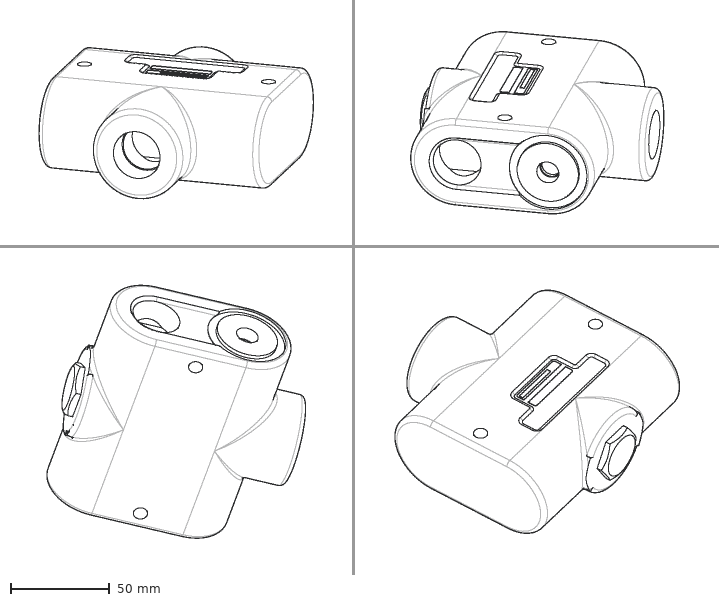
import cadquery as cq
import math

BLOCK_LENGTH = 117.1
BLOCK_HEIGHT = 47.6
SIDE_RADIUS = BLOCK_HEIGHT / 2
SIDE_AXIS_Y = 24.1
END_X = BLOCK_LENGTH / 2
TOP_Z = BLOCK_HEIGHT / 2
EDGE_FILLET = 2.5

FRONT_END_Y = -66.0
REAR_END_Y = 48.8
CREASE_FILLET = 2.4
REAR_ROUNDED_ANGLE = 120.0

PORT_RADIUS = 12.4
PORT_FLAT_HALF_HEIGHT = 10.3
FRONT_PORT_INNER_RADIUS = 11.8
FRONT_PORT_STEP_DEPTH = 14.6
FRONT_PORT_DEPTH = 29.5
SIDE_PORT_DEPTH = 15.5
SIDE_PORT_Y = 23.5

POCKET_DEPTH = 1.8
POCKET_HALF_WIDTH = 14.2
POCKET_FLOOR_FILLET = 1.7
SEAT_RADIUS = 20.4
SEAT_DEPTH = 2.0

PLUG_RADIUS = 16.0
PLUG_LENGTH = 19.1
SOCKET_RADIUS = 5.7
SOCKET_INNER_RADIUS = 5.3
SOCKET_ENTRY_DEPTH = 7.2
SOCKET_DEPTH = 9.5
SOCKET_TIP_DEPTH = 3.1

HEX_ACROSS_FLATS = 25.8
HEX_HEIGHT = 4.5
HEX_FACE_RADIUS = 11.5
HEX_CHAMFER_ANGLE = 30.0

MOUNT_HOLE_RADIUS = 3.6
MOUNT_HOLE_X = 49.0
MOUNT_HOLE_Y = 0.5

RECESS_DEPTH = 1.0
RECESS_WALL_WIDTH = 1.8
BAR_TOP_Y = 22.1
BAR_BOTTOM_Y = 11.7
BAR_HALF_WIDTH = 29.8
STEM_BOTTOM_Y = -2.6
STEM_HALF_WIDTH = 17.3
RECESS_OUTER_RADIUS = 1.8
RECESS_INNER_RADIUS = 2.6

PANEL_HEIGHT = 0.2
PANEL_HALF_WIDTH = 16.0
PANEL_TOP_Y = 11.0
PANEL_BOTTOM_Y = -1.5
PANEL_CORNER_RADIUS = 1.2
BAND_TOP_Y = 6.1
BAND_BOTTOM_Y = 3.3
FIELD_LEFT_X = -8.7
FIELD_RIGHT_X = 15.0
FIELD_TOP_Y = 2.0
FIELD_BOTTOM_Y = -0.2


def cylinder(radius, length, start, direction):
    """A round bar that begins at `start` and runs along `direction`."""
    return cq.Workplane(cq.Solid.makeCylinder(radius, length, cq.Vector(*start), cq.Vector(*direction)))


def rectangle_block(left, right, bottom, top, floor_z, height):
    """An upright box given by its X range, its Y range, its lowest Z and its height."""
    return (
        cq.Workplane("XY", origin=(0, 0, floor_z))
        .moveTo((left + right) / 2, (bottom + top) / 2)
        .rect(right - left, top - bottom)
        .extrude(height)
    )


def block():
    """The bar with rounded sides and rounded end edges."""
    width = 2 * (SIDE_AXIS_Y + SIDE_RADIUS)
    bar = cq.Workplane("YZ").slot2D(width, BLOCK_HEIGHT).extrude(END_X, both=True)
    return bar.faces("<X or >X").edges().fillet(EDGE_FILLET)


def rear_rounding():
    """Material to remove above and below to round the end edge of the rear boss."""
    flat_radius = SIDE_RADIUS - EDGE_FILLET
    round_start_y = REAR_END_Y - EDGE_FILLET
    diagonal = EDGE_FILLET * math.sqrt(0.5)
    corner = (
        cq.Workplane("YZ")
        .moveTo(REAR_END_Y, flat_radius)
        .threePointArc((round_start_y + diagonal, flat_radius + diagonal), (round_start_y, SIDE_RADIUS))
        .lineTo(REAR_END_Y, SIDE_RADIUS)
        .close()
        .revolve(REAR_ROUNDED_ANGLE, (0, 0, 0), (1, 0, 0))
        .rotate((0, 0, 0), (0, 1, 0), -REAR_ROUNDED_ANGLE / 2)
    )
    return corner.union(corner.mirror("XY"))


def block_with_bosses():
    """The block and both bosses, with filleted creases where they cross."""
    boss_length = abs(FRONT_END_Y)
    body = block()
    for direction in (-1, 1):
        body = body.union(cylinder(SIDE_RADIUS, boss_length, (0, 0, 0), (0, direction, 0)))
    body = body.edges("%ELLIPSE").fillet(CREASE_FILLET)
    body = body.faces("<Y").edges("%CIRCLE").fillet(EDGE_FILLET)
    surplus = cylinder(2 * SIDE_RADIUS, boss_length, (0, REAR_END_Y, 0), (0, 1, 0))
    return body.cut(surplus).cut(rear_rounding())


def bevelled_bore(radius, depth):
    """A bore from the origin along +X whose bottom is bevelled above and below."""
    bevel_start = depth - (radius - PORT_FLAT_HALF_HEIGHT)
    side_outline = [
        (0, -radius),
        (bevel_start, -radius),
        (depth, -PORT_FLAT_HALF_HEIGHT),
        (depth, PORT_FLAT_HALF_HEIGHT),
        (bevel_start, radius),
        (0, radius),
    ]
    bevelled = cq.Workplane("XZ").polyline(side_outline).close().extrude(radius, both=True)
    return cylinder(radius, depth, (0, 0, 0), (1, 0, 0)).intersect(bevelled)


def front_port():
    bore = bevelled_bore(FRONT_PORT_INNER_RADIUS, FRONT_PORT_DEPTH)
    bore = bore.union(cylinder(PORT_RADIUS, FRONT_PORT_STEP_DEPTH, (0, 0, 0), (1, 0, 0)))
    return bore.rotate((0, 0, 0), (0, 0, 1), 90).translate((0, FRONT_END_Y, 0))


def side_port():
    return bevelled_bore(PORT_RADIUS, SIDE_PORT_DEPTH).translate((-END_X, SIDE_PORT_Y, 0))


def end_pocket():
    """The long shallow pocket between the side port and the plug, with a filleted floor."""
    pocket = (
        cq.Workplane("YZ", origin=(-END_X, 0, 0))
        .slot2D(2 * (SIDE_PORT_Y + POCKET_HALF_WIDTH), 2 * POCKET_HALF_WIDTH)
        .extrude(POCKET_DEPTH)
    )
    return pocket.faces(">X").edges().fillet(POCKET_FLOOR_FILLET)


def plug_seat():
    """The counterbore and the hole for the socket plug."""
    start = (-END_X, -SIDE_AXIS_Y, 0)
    counterbore = cylinder(SEAT_RADIUS, SEAT_DEPTH, start, (1, 0, 0))
    return counterbore.union(cylinder(PLUG_RADIUS, PLUG_LENGTH, start, (1, 0, 0)))


def mounting_holes():
    holes = cq.Workplane("XY", origin=(0, 0, -TOP_Z)).pushPoints(
        [(-MOUNT_HOLE_X, MOUNT_HOLE_Y), (MOUNT_HOLE_X, MOUNT_HOLE_Y)]
    )
    return holes.circle(MOUNT_HOLE_RADIUS).extrude(BLOCK_HEIGHT)


def recess_outline():
    """The corners of the T outline, its left half mirrored from its right half."""
    right_half = [
        (STEM_HALF_WIDTH, STEM_BOTTOM_Y),
        (STEM_HALF_WIDTH, BAR_BOTTOM_Y),
        (BAR_HALF_WIDTH, BAR_BOTTOM_Y),
        (BAR_HALF_WIDTH, BAR_TOP_Y),
    ]
    left_half = [(-x, y) for x, y in reversed(right_half)]
    return right_half + left_half


def nameplate_recess():
    """The T-shaped recess, which widens from its floor up to the top face."""
    floor_z = TOP_Z - RECESS_DEPTH
    wall_angle = math.degrees(math.atan2(RECESS_WALL_WIDTH, RECESS_DEPTH))
    bar_side = BAR_HALF_WIDTH - RECESS_OUTER_RADIUS
    inner_corners = cq.selectors.BoxSelector(
        (-bar_side, BAR_BOTTOM_Y - RECESS_INNER_RADIUS, floor_z),
        (bar_side, BAR_BOTTOM_Y + RECESS_INNER_RADIUS, TOP_Z),
    )
    upright = (
        cq.Workplane("XY", origin=(0, 0, floor_z))
        .polyline(recess_outline())
        .close()
        .extrude(RECESS_DEPTH)
    )
    upright = upright.edges("|Z").edges(inner_corners).fillet(RECESS_INNER_RADIUS)
    upright = upright.edges("|Z").edges("<X or >X or <Y").fillet(RECESS_OUTER_RADIUS)
    floor_outline = upright.faces("<Z").wires().toPending()
    return floor_outline.workplane(invert=True).extrude(RECESS_DEPTH, taper=-wall_angle)


def nameplate_panel():
    """The raised panel on the recess floor, with a sunk band and a sunk serial number field."""
    floor_z = TOP_Z - RECESS_DEPTH
    panel = rectangle_block(
        -PANEL_HALF_WIDTH, PANEL_HALF_WIDTH, PANEL_BOTTOM_Y, PANEL_TOP_Y, floor_z, PANEL_HEIGHT
    )
    panel = panel.edges("|Z").fillet(PANEL_CORNER_RADIUS)
    band = rectangle_block(
        -PANEL_HALF_WIDTH, PANEL_HALF_WIDTH, BAND_BOTTOM_Y, BAND_TOP_Y, floor_z, PANEL_HEIGHT
    )
    field = rectangle_block(
        FIELD_LEFT_X, FIELD_RIGHT_X, FIELD_BOTTOM_Y, FIELD_TOP_Y, floor_z, PANEL_HEIGHT
    )
    return panel.cut(band).cut(field)


def housing():
    body = block_with_bosses()
    body = body.cut(front_port()).cut(end_pocket()).cut(side_port()).cut(plug_seat())
    return body.cut(mounting_holes()).cut(nameplate_recess()).union(nameplate_panel())


def socket_plug():
    """The round plug in the -X end, with a stepped socket that ends in a cone."""
    start = (-END_X, -SIDE_AXIS_Y, 0)
    tip_start = cq.Vector(-END_X + SOCKET_DEPTH, -SIDE_AXIS_Y, 0)
    plug = cylinder(PLUG_RADIUS, PLUG_LENGTH, start, (1, 0, 0))
    plug = plug.cut(cylinder(SOCKET_RADIUS, SOCKET_ENTRY_DEPTH, start, (1, 0, 0)))
    plug = plug.cut(cylinder(SOCKET_INNER_RADIUS, SOCKET_DEPTH, start, (1, 0, 0)))
    tip = cq.Solid.makeCone(SOCKET_INNER_RADIUS, 0, SOCKET_TIP_DEPTH, tip_start, cq.Vector(1, 0, 0))
    return plug.cut(cq.Workplane(tip))


def hex_plug():
    """The hex head on the rear boss, with its outer corners turned to a cone."""
    corner_radius = HEX_ACROSS_FLATS / math.sqrt(3)
    rise = (corner_radius - HEX_FACE_RADIUS) * math.tan(math.radians(HEX_CHAMFER_ANGLE))
    head = (
        cq.Workplane("XZ", origin=(0, REAR_END_Y, 0))
        .polygon(6, 2 * corner_radius)
        .extrude(-HEX_HEIGHT)
    )
    turned = cylinder(corner_radius, HEX_HEIGHT, (0, REAR_END_Y, 0), (0, 1, 0))
    turned = turned.faces(">Y").chamfer(rise, corner_radius - HEX_FACE_RADIUS)
    return head.intersect(turned)


result = cq.Compound.makeCompound([housing().val(), socket_plug().val(), hex_plug().val()])